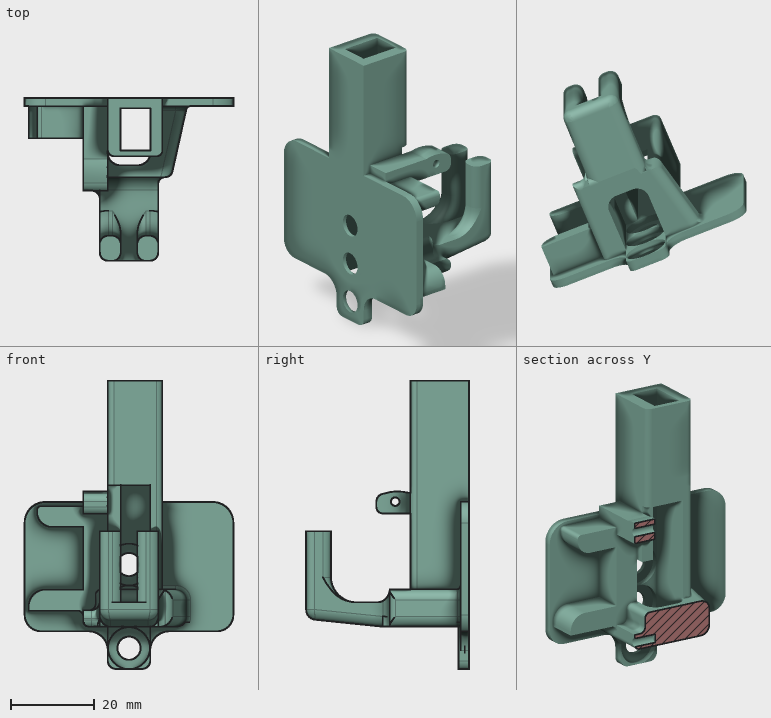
import cadquery as cq

PLATE_WIDTH = 50.0
PLATE_HEIGHT = 31.0
PLATE_THICK = 2.0
PLATE_TOP_RADIUS = 5.0
PLATE_BOTTOM_RADIUS = 4.0
TAB_HALF_WIDTH = 5.1
TAB_BOTTOM = -9.0
TAB_THICK = 2.55
TAB_CORNER_RADIUS = 2.0
TAB_ROOT_RADIUS = 4.5

SCREW_DIAMETER = 5.5
COUNTERBORE_DIAMETER = 10.0
COUNTERBORE_FLOOR = 1.0
SCREW_PITCH = 10.0
LOWEST_SCREW_Z = -4.0
SCREW_COUNT = 3

TOWER_LEFT = -TAB_HALF_WIDTH
TOWER_RIGHT = 8.0
TOWER_DEPTH = 14.0
TOWER_TOP = 60.0
TOWER_CORNER_RADIUS = 1.5
SHAFT_LEFT = -2.0
SHAFT_RIGHT = TAB_HALF_WIDTH
SHAFT_FRONT = 12.6
WINDOW_TOP = 35.0
WINDOW_BACK = 11.9
SLOT_TOP = 20.7
SLOT_FRONT = 16.1
SLOT_CORNER_RADIUS = 3.0

BRACKET_FRONT = 9.7
BRACKET_TOP = 30.0
BRACKET_BOTTOM = 5.0
BRACKET_ARM = 5.0
LUG_LEFT = -10.95
UPPER_LEG_LEFT = -22.0
UPPER_LEG_TOP_RADIUS = 1.0
UPPER_LEG_BOTTOM_RADIUS = 3.6
LOWER_LEG_LEFT = -24.0
LOWER_LEG_RADIUS = 4.0
LEG_ROOT_RADIUS = 1.4

LUG_FRONT = 22.2
PIN_DIAMETER = 2.0
PIN_Y = -17.65
PIN_SPACING = 28.0
PIN_COUNT = 2
LOWER_PIN_Z = 3.05
UPPER_LUG_TOP = 33.2
UPPER_LUG_BOTTOM = 28.2
UPPER_LUG_CROWN = 33.5
CROWN_START_Y = -14.6
NOSE_LENGTH = 1.9
NOSE_START_DROP = 0.2
NOSE_MIDDLE_INSET = 0.5
NOSE_MIDDLE_DROP = 0.9
NOSE_END_DROP = 2.1
LUG_CHIN_RADIUS = 1.6
LOWER_LUG_TOP = 5.1
LOWER_LUG_END_RADIUS = 1.9
LOWER_LUG_EDGE_RADIUS = 1.4

BASE_LEFT = -8.0
BASE_FRONT = 19.0
BASE_TOP = 10.05
BASE_BOTTOM = 1.15
BASE_MIDDLE = (BASE_BOTTOM + BASE_TOP) / 2
BASE_RIGHT_REAR = 13.9
BASE_RIGHT_FRONT = 10.1
BASE_FLANK_RADIUS = 2.5
BASE_CORNER_RADIUS = 1.8
BASE_LEFT_RADIUS = 1.4
FLARE_RADIUS = 1.0

ARM_HALF_WIDTH = 7.0
ARM_FRONT = 39.0
ARM_TOP = 7.0
ARM_OVERLAP = 1.0
ARM_BEND_Y = -20.9
ARM_TIP_BOTTOM = 3.0
ARM_ROOT_RADIUS = 3.0
RIGHT_BLEND_RADIUS = 1.6
LEFT_BLEND_RADIUS = 2.0
ARM_EDGE_RADIUS = 2.5
FINGER_BACK = 33.0
FINGER_BEND_RADIUS = 6.0
FINGER_TOP = 24.0
FINGER_GAP_HALF = 2.0
FINGER_EDGE_RADIUS = 2.0
FINGER_BEND_TOP = ARM_TOP + FINGER_BEND_RADIUS

TOLERANCE = 0.01
PICK_MARGIN = 0.5


def block(x0, x1, y0, y1, z0, z1):
    """Box between two corners."""
    return cq.Workplane("XY").box(x1 - x0, y1 - y0, z1 - z0, centered=False).translate((x0, y0, z0))


def box_around(x0, x1, y0, y1, z0, z1):
    """Selector for the edges centred inside a box."""
    return cq.selectors.BoxSelector((x0, y0, z0), (x1, y1, z1))


def nearest(x, y, z):
    """Selector for the edge or face centred nearest to a point."""
    return cq.selectors.NearestToPointSelector((x, y, z))


def extrude_x(profile_yz, x0, x1):
    """Extrude a closed YZ profile from x0 to x1."""
    return profile_yz.extrude(x1 - x0).translate((x0, 0, 0))


def make_plate():
    """Rounded plate with a filleted tab below it and a slightly thicker pad along the screw line."""
    half = PLATE_WIDTH / 2
    plate = block(-half, half, -PLATE_THICK, 0, 0, PLATE_HEIGHT)
    plate = plate.edges("|Y and >Z").fillet(PLATE_TOP_RADIUS)
    plate = plate.edges("|Y and <Z").fillet(PLATE_BOTTOM_RADIUS)
    plate = plate.union(block(-TAB_HALF_WIDTH, TAB_HALF_WIDTH, -PLATE_THICK, 0, TAB_BOTTOM, BASE_TOP))
    root_reach = TAB_HALF_WIDTH + PICK_MARGIN
    roots = box_around(-root_reach, root_reach, -PLATE_THICK, 0, -PICK_MARGIN, PICK_MARGIN)
    plate = plate.edges(roots).edges("|Y").fillet(TAB_ROOT_RADIUS)
    plate = plate.union(block(-TAB_HALF_WIDTH, TAB_HALF_WIDTH, -TAB_THICK, 0, TAB_BOTTOM, BASE_TOP))
    return plate.edges("|Y and <Z").fillet(TAB_CORNER_RADIUS)


def make_tower():
    """Solid tower with rounded front corners."""
    tower = block(TOWER_LEFT, TOWER_RIGHT, -TOWER_DEPTH, 0, BASE_BOTTOM, TOWER_TOP)
    return tower.edges("|Z and <Y").fillet(TOWER_CORNER_RADIUS)


def make_bracket():
    """C-shaped bracket: upright wall with an upper and a lower leg."""

    def bar(x0, x1, z0, z1):
        return block(x0, x1, -BRACKET_FRONT, -PLATE_THICK, z0, z1)

    wall = bar(LUG_LEFT, TOWER_LEFT, LOWER_PIN_Z, BRACKET_TOP)
    upper = bar(UPPER_LEG_LEFT, LUG_LEFT, BRACKET_TOP - BRACKET_ARM, BRACKET_TOP)
    upper = upper.edges("|Y and <X and >Z").fillet(UPPER_LEG_TOP_RADIUS)
    upper = upper.edges("|Y and <X and <Z").fillet(UPPER_LEG_BOTTOM_RADIUS)
    lower = bar(LOWER_LEG_LEFT, LUG_LEFT, BRACKET_BOTTOM, BRACKET_BOTTOM + BRACKET_ARM)
    lower = lower.edges("|Y and <X and >Z").fillet(LOWER_LEG_RADIUS)
    depth = BRACKET_FRONT - PLATE_THICK
    root = (
        cq.Workplane("XZ", origin=(LUG_LEFT, -PLATE_THICK, BRACKET_BOTTOM))
        .lineTo(-LEG_ROOT_RADIUS, 0)
        .radiusArc((0, -LEG_ROOT_RADIUS), LEG_ROOT_RADIUS)
        .close()
        .extrude(depth)
    )
    return wall.union(upper).union(lower).union(root)


def make_upper_lug():
    """Upper hinge lug: flat top, low crown over the pin, rounded nose."""
    crown_start = (CROWN_START_Y, UPPER_LUG_TOP)
    nose_start = (-LUG_FRONT + NOSE_LENGTH, UPPER_LUG_TOP - NOSE_START_DROP)
    nose_middle = (-LUG_FRONT + NOSE_MIDDLE_INSET, UPPER_LUG_TOP - NOSE_MIDDLE_DROP)
    nose_end = (-LUG_FRONT, UPPER_LUG_TOP - NOSE_END_DROP)
    profile = (
        cq.Workplane("YZ")
        .moveTo(-PLATE_THICK, UPPER_LUG_BOTTOM)
        .lineTo(-PLATE_THICK, UPPER_LUG_TOP)
        .lineTo(*crown_start)
        .threePointArc((PIN_Y, UPPER_LUG_CROWN), nose_start)
        .threePointArc(nose_middle, nose_end)
        .lineTo(-LUG_FRONT, UPPER_LUG_BOTTOM + LUG_CHIN_RADIUS)
        .radiusArc((-LUG_FRONT + LUG_CHIN_RADIUS, UPPER_LUG_BOTTOM), -LUG_CHIN_RADIUS)
        .close()
    )
    return extrude_x(profile, LUG_LEFT, TOWER_LEFT)


def make_lower_lug():
    """Lower hinge lug with a rounded nose and a rounded lower left edge, buried in the base."""
    plain = block(LUG_LEFT, 0, -LUG_FRONT, -PLATE_THICK, BASE_BOTTOM, LOWER_LUG_TOP)
    nosed = plain.edges("|X and <Y and >Z").fillet(LOWER_LUG_END_RADIUS)
    nosed = nosed.edges("|X and <Y and <Z").fillet(LUG_CHIN_RADIUS)
    return nosed.intersect(plain.edges("|Y and <X and <Z").fillet(LOWER_LUG_EDGE_RADIUS))


def make_base_prism():
    """Plain base block with its sloping right flank."""
    return (
        cq.Workplane("XY", origin=(0, 0, BASE_BOTTOM))
        .moveTo(BASE_LEFT, -PLATE_THICK)
        .lineTo(BASE_LEFT, -BASE_FRONT)
        .lineTo(BASE_RIGHT_FRONT, -BASE_FRONT)
        .lineTo(BASE_RIGHT_REAR, -PLATE_THICK)
        .close()
        .extrude(BASE_TOP - BASE_BOTTOM)
    )


def make_flanked_block():
    """Base block with the long edges of its right flank rounded."""
    flank_x = (BASE_RIGHT_FRONT + BASE_RIGHT_REAR) / 2
    flank_y = -(BASE_FRONT + PLATE_THICK) / 2
    flank = make_base_prism().faces(nearest(flank_x, flank_y, BASE_MIDDLE))
    return flank.edges("not |Z").fillet(BASE_FLANK_RADIUS)


def make_base():
    """Base block with its right front corner and left edge rounded and the lower lug blended on."""
    base = make_flanked_block().edges("|Y and <X and >Z").fillet(BASE_LEFT_RADIUS)
    front_corner = make_base_prism().edges("|Z").edges(nearest(BASE_RIGHT_FRONT, -BASE_FRONT, BASE_MIDDLE))
    base = base.intersect(front_corner.fillet(BASE_CORNER_RADIUS))
    root = (
        cq.Workplane("XZ", origin=(BASE_LEFT, -PLATE_THICK, LOWER_LUG_TOP))
        .lineTo(-BASE_LEFT_RADIUS, 0)
        .radiusArc((0, BASE_LEFT_RADIUS), -BASE_LEFT_RADIUS)
        .close()
        .extrude(BASE_FRONT - PLATE_THICK)
    )
    return base.union(make_lower_lug()).union(root)


def make_flare():
    """Concave blend from the base flank to the plate, from the tower outward."""
    reach = PLATE_WIDTH / 2
    backing = block(-reach, reach, -PLATE_THICK, 0, -reach, reach)
    flared = backing.union(make_flanked_block())
    on_plate = box_around(BASE_LEFT - PICK_MARGIN, BASE_RIGHT_REAR + PICK_MARGIN,
                          -PLATE_THICK - TOLERANCE, -PLATE_THICK + TOLERANCE, 0, BASE_TOP + PICK_MARGIN)
    flared = flared.edges(on_plate).fillet(FLARE_RADIUS)
    kept = block(TOWER_RIGHT, reach, -BASE_FRONT / 2, -PLATE_THICK, BASE_BOTTOM + FLARE_RADIUS, reach)
    return flared.intersect(kept)


def arm_outline():
    """Side outline of the arm: root curve, flat, finger bend, finger, rising underside."""
    return (
        cq.Workplane("YZ")
        .moveTo(-BASE_FRONT + ARM_OVERLAP, BASE_BOTTOM)
        .lineTo(-BASE_FRONT + ARM_OVERLAP, ARM_TOP + ARM_ROOT_RADIUS)
        .lineTo(-BASE_FRONT, ARM_TOP + ARM_ROOT_RADIUS)
        .radiusArc((-BASE_FRONT - ARM_ROOT_RADIUS, ARM_TOP), ARM_ROOT_RADIUS)
        .lineTo(-FINGER_BACK + FINGER_BEND_RADIUS, ARM_TOP)
        .radiusArc((-FINGER_BACK, FINGER_BEND_TOP), FINGER_BEND_RADIUS)
        .lineTo(-FINGER_BACK, FINGER_TOP)
        .lineTo(-ARM_FRONT, FINGER_TOP)
        .lineTo(-ARM_FRONT, ARM_TIP_BOTTOM)
        .lineTo(ARM_BEND_Y, BASE_BOTTOM)
        .close()
    )


def inner_rear_cutter():
    """Cutter that rounds the gap-side rear edge of the right finger and follows the bend to the gap floor."""
    bend_y = -FINGER_BACK + FINGER_BEND_RADIUS

    def corner():
        return (
            cq.Workplane("XY", origin=(FINGER_GAP_HALF, -FINGER_BACK, FINGER_BEND_TOP))
            .lineTo(0, -FINGER_EDGE_RADIUS)
            .radiusArc((FINGER_EDGE_RADIUS, 0), FINGER_EDGE_RADIUS)
            .close()
        )

    straight = corner().extrude(FINGER_TOP - FINGER_BEND_TOP)
    bend = corner().revolve(90, (0, FINGER_BEND_RADIUS, 0), (1, FINGER_BEND_RADIUS, 0))
    above_floor = block(0, ARM_HALF_WIDTH, -ARM_FRONT, bend_y, ARM_TOP, FINGER_TOP)
    return straight.union(bend).intersect(above_floor)


def outer_rear_cutter():
    """Cutter that rounds the outer rear edge of the right finger and flares it into the arm top.

    It is a quarter turn about the upright axis of the edge rounding.
    """
    flare_end = FINGER_EDGE_RADIUS + FINGER_BEND_RADIUS
    profile = (
        cq.Workplane("XZ")
        .moveTo(FINGER_EDGE_RADIUS, FINGER_TOP)
        .lineTo(FINGER_EDGE_RADIUS, FINGER_BEND_TOP)
        .radiusArc((flare_end, ARM_TOP), -FINGER_BEND_RADIUS)
        .lineTo(flare_end, FINGER_TOP)
        .close()
    )
    quarter = profile.revolve(90, (0, 0, 0), (0, 1, 0))
    return quarter.translate((ARM_HALF_WIDTH - FINGER_EDGE_RADIUS, -FINGER_BACK - FINGER_EDGE_RADIUS, 0))


def make_arm():
    """Arm with rounded outer front edges and rounded underside."""
    arm = extrude_x(arm_outline(), -ARM_HALF_WIDTH, ARM_HALF_WIDTH)
    arm = arm.edges("|Z and <Y").fillet(FINGER_EDGE_RADIUS)
    underside = box_around(-ARM_HALF_WIDTH - PICK_MARGIN, ARM_HALF_WIDTH + PICK_MARGIN,
                           -ARM_FRONT - PICK_MARGIN, ARM_BEND_Y - PICK_MARGIN,
                           BASE_BOTTOM, ARM_TIP_BOTTOM + PICK_MARGIN)
    return arm.edges(underside).fillet(ARM_EDGE_RADIUS)


def cut_fingers(arm):
    """Split the upright into two fingers and round their edges."""
    arm = arm.cut(block(-FINGER_GAP_HALF, FINGER_GAP_HALF, -ARM_FRONT, -FINGER_BACK + FINGER_BEND_RADIUS,
                        ARM_TOP, FINGER_TOP))
    for cutter in (inner_rear_cutter(), outer_rear_cutter()):
        arm = arm.cut(cutter).cut(cutter.mirror("YZ"))
    return arm


def round_inner_finger_fronts(arm):
    """Round the gap-side front edges of both fingers down to the gap floor."""
    for side in (-1, 1):
        edge = nearest(side * FINGER_GAP_HALF, -ARM_FRONT, (ARM_TOP + FINGER_TOP) / 2)
        arm = arm.edges("|Z").edges(edge).fillet(FINGER_EDGE_RADIUS)
    return arm


def wide_arm():
    """Arm outline extruded past both sides, to trim the side blends."""
    return extrude_x(arm_outline(), LUG_LEFT, BASE_RIGHT_FRONT)


def make_right_blend():
    """Concave blend from the base front to the right side of the arm."""
    r = RIGHT_BLEND_RADIUS
    blend = (
        cq.Workplane("XY", origin=(ARM_HALF_WIDTH, -BASE_FRONT, BASE_BOTTOM))
        .lineTo(r, 0)
        .radiusArc((0, -r), -r)
        .close()
        .extrude(BASE_TOP - BASE_BOTTOM)
    )
    return blend.intersect(wide_arm())


def make_left_blend():
    """Concave blend wrapped around the lower lug where it meets the left side of the arm."""
    reach = ARM_FRONT
    backing = block(-ARM_HALF_WIDTH, 0, -reach, 0, -reach, reach)
    blended = backing.union(make_lower_lug())
    on_side = box_around(-ARM_HALF_WIDTH - TOLERANCE, -ARM_HALF_WIDTH + TOLERANCE,
                         -LUG_FRONT - PICK_MARGIN, -PLATE_THICK - PICK_MARGIN,
                         BASE_BOTTOM + TOLERANCE, LOWER_LUG_TOP + PICK_MARGIN)
    blended = blended.edges(on_side).fillet(LEFT_BLEND_RADIUS)
    blend_front = LUG_FRONT + LEFT_BLEND_RADIUS
    outside_arm = block(LUG_LEFT, -ARM_HALF_WIDTH, -blend_front, -BASE_FRONT, BASE_BOTTOM, BASE_TOP)
    outside_arm = outside_arm.edges("|X and <Y and <Z").chamfer(ARM_EDGE_RADIUS, LEFT_BLEND_RADIUS)
    return blended.intersect(wide_arm()).intersect(outside_arm)


def cut_tower_openings(part):
    """Shaft through the tower, window in its front and wide slot below, open through the base."""
    part = part.cut(block(SHAFT_LEFT, SHAFT_RIGHT, -SHAFT_FRONT, -TAB_THICK, TAB_BOTTOM, TOWER_TOP))
    part = part.cut(block(TOWER_LEFT, SHAFT_RIGHT, -TOWER_DEPTH, -WINDOW_BACK, BASE_TOP, WINDOW_TOP))
    slot = block(TOWER_LEFT, SHAFT_RIGHT, -SLOT_FRONT, -TAB_THICK, TAB_BOTTOM, SLOT_TOP)
    return part.cut(slot.edges("|Z and <Y").fillet(SLOT_CORNER_RADIUS))


def cut_screw_holes(part):
    """Counterbored screw holes along the screw line."""
    for i in range(SCREW_COUNT):
        z = LOWEST_SCREW_Z + i * SCREW_PITCH
        wall = cq.Workplane("XZ", origin=(0, 0, z))
        part = part.cut(wall.circle(SCREW_DIAMETER / 2).extrude(TAB_THICK))
        seat = wall.workplane(offset=COUNTERBORE_FLOOR).circle(COUNTERBORE_DIAMETER / 2)
        part = part.cut(seat.extrude(TAB_THICK - COUNTERBORE_FLOOR))
    return part


def cut_pin_holes(part):
    """Pin hole through the upper lug and a blind one of the same depth in the lower lug."""
    for i in range(PIN_COUNT):
        pin = cq.Workplane("YZ", origin=(LUG_LEFT, PIN_Y, LOWER_PIN_Z + i * PIN_SPACING))
        part = part.cut(pin.circle(PIN_DIAMETER / 2).extrude(TOWER_LEFT - LUG_LEFT))
    return part


def make_body():
    """All material of the part before the openings and holes are cut."""
    fingered_arm = round_inner_finger_fronts(cut_fingers(make_arm()))
    body = make_plate().union(make_tower()).union(make_bracket())
    body = body.union(make_upper_lug()).union(make_base()).union(make_flare())
    return body.union(fingered_arm).union(make_right_blend()).union(make_left_blend())


result = cut_pin_holes(cut_screw_holes(cut_tower_openings(make_body())))